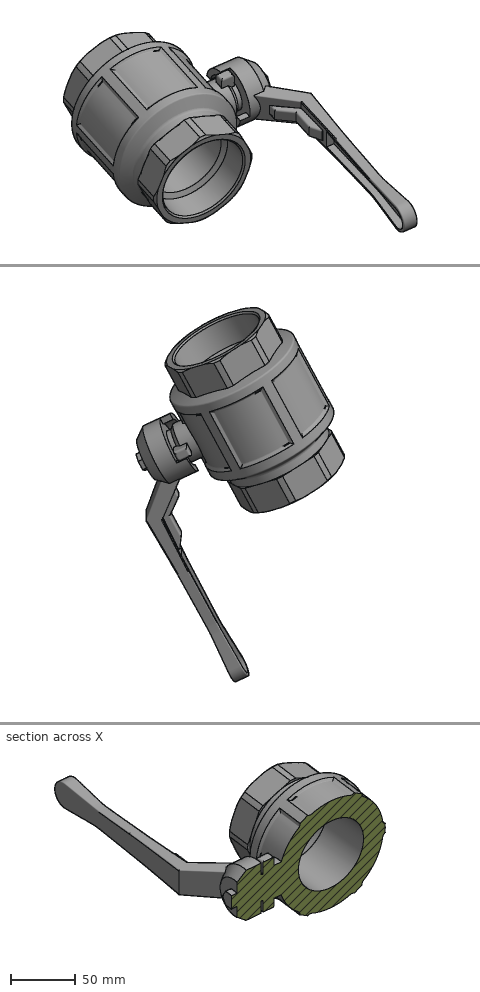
import cadquery as cq
import math


overlap = 1.0
margin = 0.5

body_left = -66.5
body_right = 68.2
octagon_apothem = 42.8
octagon_corner_radius = 45.3
octagon_face_radius = 43.2
octagon_chamfer_length = 1.4
right_octagon_inner_end = 43.9

body_radius = 54.5
body_edge_fillet = 1.5
left_cone_radius = 42.0
left_cone_start = -42.3
left_cone_end = -39.2
right_cone_start = 30.4
right_cone_end = 36.2
neck_ring_radius = 43.1
neck_ring_fillet = 2.5

panel_count = 6
panel_depth = 2.0
panel_start = -31.7
panel_end = 22.1
panel_wall_run = 2.1
panel_floor_fillet = 0.9
web_half_width_top = 4.2
web_half_width_floor = 6.1

thread_bore_radius = 36.8
thread_bore_depth = 23.6
thread_bore_cone_length = 2.4
thread_chamfer = 1.4
through_bore_radius = 32.3

neck_radius = 16.7
neck_tip_radius = 13.6
neck_shoulder_y = 62.8
neck_tip_y = 65.9
lug_half_width = 4.3
lug_outer_radius = 24.9
lug_bottom_y = 56.8
lug_top_y = 68.4
lug_fillet = 1.8

cap_radius = 25.0
cap_top_radius = 17.55
cap_skirt_inner_radius = 19.6
cap_skirt_bottom_y = 61.2
cap_web_bottom_y = 69.9
cap_cone_start_y = 84.8
cap_top_y = 94.0
skirt_gap_offset = 4.4

nut_across_flats = 13.5
nut_top_y = 99.4

lever_top_y = 115.48
lever_bottom_y = 103.4
lever_waist_thinning = 1.6
lever_waist_x = 147.7
lever_waist_half_width = 8.6
lever_waist_blend = 60.0
lever_root_x = 16.3
arm_top_root_y = 88.9
arm_inner_x = 20.0
arm_end_corner_y = 85.0
arm_bottom_root_y = 73.8
lever_root_half_width = 13.1
lever_end_radius = 12.2
lever_edge_fillet = 0.8
lever_tip_x = 197.5
lever_end_x = lever_tip_x - lever_end_radius
lever_bend_top_x = 42.0
lever_bend_bottom_x = 46.4
pocket_start_x = 82.0
pocket_wall = 2.7
pocket_floor_y = 111.2

rib_drop = 6.0
rib_start_x = 29.8
rib_bottom_end_x = 37.6
rib_bottom_y = 84.6
rib_bend_x = 48.4
rib_ramp_start_x = 67.6
rib_end_x = 76.9
rib_root_y = lever_bottom_y + overlap
rib_half_width = 5.4
rib_fillet = 1.5


def revolved_about_pipe(points):
    """Solid of revolution about the X axis from (x, radius) points."""
    return cq.Workplane("XY").polyline(points).close().revolve(360, (0, 0, 0), (1, 0, 0))


def revolved_about_stem(points):
    """Solid of revolution about the Y axis from (radius, y) points."""
    return cq.Workplane("XY").polyline(points).close().revolve(360, (0, 0, 0), (0, 1, 0))


def octagon_end(face_x, inner_x):
    """Octagonal pipe end whose outer face is at face_x."""
    inward = math.copysign(1, inner_x - face_x)
    across_corners = 2 * octagon_apothem / math.cos(math.pi / 8)
    prism = (
        cq.Workplane("YZ", origin=(face_x, 0, 0))
        .polygon(8, across_corners)
        .extrude(inner_x - face_x)
    )
    envelope = revolved_about_pipe([
        (face_x, 0),
        (face_x, octagon_face_radius),
        (face_x + inward * octagon_chamfer_length, octagon_corner_radius),
        (inner_x, octagon_corner_radius),
        (inner_x, 0),
    ])
    return prism.intersect(envelope)


def round_body():
    """Barrel with a cone at each side and the ring next to the right octagon."""
    barrel = revolved_about_pipe([
        (left_cone_start, 0),
        (left_cone_start, left_cone_radius),
        (left_cone_end, body_radius),
        (right_cone_start, body_radius),
        (right_cone_end, neck_ring_radius),
        (right_octagon_inner_end, neck_ring_radius),
        (right_octagon_inner_end, 0),
    ])
    barrel_edges = cq.selectors.BoxSelector(
        (left_cone_end - margin, -body_radius - margin, -body_radius - margin),
        (right_cone_start + margin, body_radius + margin, body_radius + margin),
        boundingbox=True,
    )
    ring_edge = cq.selectors.BoxSelector(
        (right_cone_end - margin, -body_radius, -body_radius),
        (right_cone_end + margin, body_radius, body_radius),
        boundingbox=True,
    )
    barrel = barrel.edges(barrel_edges).edges("%CIRCLE").fillet(body_edge_fillet)
    return barrel.edges(ring_edge).fillet(neck_ring_fillet)


def panel_recesses():
    """Ring-shaped groove with sloped ends, interrupted by tapered webs along X."""
    floor_radius = body_radius - panel_depth
    overshoot = 2.0
    end_slope = panel_wall_run / panel_depth
    cutter = revolved_about_pipe([
        (panel_start + panel_wall_run, floor_radius),
        (panel_start - overshoot * end_slope, body_radius + overshoot),
        (panel_end + overshoot * end_slope, body_radius + overshoot),
        (panel_end - panel_wall_run, floor_radius),
    ])
    web_slope = (web_half_width_floor - web_half_width_top) / panel_depth
    web_low = floor_radius - overshoot
    web_rise = 1.5 * overshoot
    web_high = body_radius + web_rise
    web_low_half = web_half_width_floor + web_slope * overshoot
    web_high_half = web_half_width_top - web_slope * web_rise
    web_start = panel_start - overshoot * end_slope
    web_end = panel_end + overshoot * end_slope
    for index in range(panel_count):
        web = (
            cq.Workplane("YZ", origin=(web_start, 0, 0))
            .polyline([
                (web_low, -web_low_half),
                (web_high, -web_high_half),
                (web_high, web_high_half),
                (web_low, web_low_half),
            ])
            .close()
            .extrude(web_end - web_start)
            .rotate((0, 0, 0), (1, 0, 0), index * 360 / panel_count)
        )
        cutter = cutter.cut(web)
    panel_length = panel_end - panel_start
    floors = cutter.faces("%CYLINDER").filter(lambda face: face.BoundingBox().xlen < panel_length)
    return floors.edges().fillet(panel_floor_fillet)


def bore():
    """Through bore with a wider, chamfered thread bore at each end, joined by cones."""
    cone_end_depth = thread_bore_depth + thread_bore_cone_length
    mouth_radius = thread_bore_radius + thread_chamfer
    return revolved_about_pipe([
        (body_left, 0),
        (body_left, mouth_radius),
        (body_left + thread_chamfer, thread_bore_radius),
        (body_left + thread_bore_depth, thread_bore_radius),
        (body_left + cone_end_depth, through_bore_radius),
        (body_right - cone_end_depth, through_bore_radius),
        (body_right - thread_bore_depth, thread_bore_radius),
        (body_right - thread_chamfer, thread_bore_radius),
        (body_right, mouth_radius),
        (body_right, 0),
    ])


def stem_neck():
    """Neck rising from the body to the cap, with a stop lug on either side."""
    neck = revolved_about_stem([
        (0, 0),
        (neck_radius, 0),
        (neck_radius, neck_shoulder_y),
        (neck_tip_radius, neck_tip_y),
        (neck_tip_radius, cap_web_bottom_y + overlap),
        (0, cap_web_bottom_y + overlap),
    ])
    lugs = (
        cq.Workplane("XY")
        .box(2 * lug_half_width, lug_top_y - lug_bottom_y, 2 * lug_outer_radius)
        .faces("<Z or >Z")
        .edges()
        .fillet(lug_fillet)
        .translate((0, (lug_top_y + lug_bottom_y) / 2, 0))
    )
    lug_core = revolved_about_stem([
        (0, lug_bottom_y),
        (neck_tip_radius, lug_bottom_y),
        (neck_tip_radius, lug_top_y),
        (0, lug_top_y),
    ])
    return neck.union(lugs.cut(lug_core))


def cap():
    """Lever hub: coned top and a hollow skirt open over two opposite quadrants."""
    hub = revolved_about_stem([
        (0, cap_web_bottom_y),
        (cap_skirt_inner_radius, cap_web_bottom_y),
        (cap_skirt_inner_radius, cap_skirt_bottom_y),
        (cap_radius, cap_skirt_bottom_y),
        (cap_radius, cap_cone_start_y),
        (cap_top_radius, cap_top_y),
        (0, cap_top_y),
    ])
    gap_size = 2 * cap_radius
    gap_height = cap_web_bottom_y - cap_skirt_bottom_y
    for side in (1, -1):
        gap_centre = side * (gap_size / 2 - skirt_gap_offset)
        gap = cq.Workplane("XY").box(gap_size, gap_height, gap_size).translate(
            (gap_centre, cap_skirt_bottom_y + gap_height / 2, gap_centre)
        )
        hub = hub.cut(gap)
    return hub


def nut():
    """Hexagon on the end of the stem, with corners toward +X and -X."""
    across_corners = nut_across_flats / math.cos(math.pi / 6)
    return (
        cq.Workplane("XZ", origin=(0, cap_top_y - overlap, 0))
        .polygon(6, across_corners)
        .extrude(-(nut_top_y - cap_top_y + overlap))
    )


def lever_plan(start_x, start_half_width, inset):
    """Tapered grip outline in X and Z with a round end, shrunk by inset."""
    waist = lever_waist_half_width - inset
    end_radius = lever_end_radius - inset
    reach = lever_end_x - lever_waist_x
    gap = math.hypot(reach, waist)
    tilt = math.asin(end_radius / gap) - math.atan2(waist, reach)
    tangent_x = lever_end_x - end_radius * math.sin(tilt)
    tangent_z = end_radius * math.cos(tilt)
    plan = (
        cq.Workplane("XZ")
        .moveTo(start_x, start_half_width)
        .lineTo(lever_waist_x, waist)
        .lineTo(tangent_x, tangent_z)
        .threePointArc((lever_end_x + end_radius, 0), (tangent_x, -tangent_z))
        .lineTo(lever_waist_x, -waist)
        .lineTo(start_x, -start_half_width)
        .close()
        .extrude(-2 * lever_top_y)
    )
    waist_edges = cq.selectors.BoxSelector(
        (lever_waist_x - margin, 0, -2 * waist),
        (lever_waist_x + margin, 2 * lever_top_y, 2 * waist),
    )
    return plan.edges("|Y").edges(waist_edges).fillet(lever_waist_blend)


def lever():
    """Bent lever: an arm rising from the cap, then a hollowed grip."""
    waist_top_y = lever_top_y - lever_waist_thinning
    waist_bottom_y = lever_bottom_y + lever_waist_thinning
    slab = (
        cq.Workplane("XY", origin=(0, 0, -lever_root_half_width))
        .moveTo(lever_root_x, arm_top_root_y)
        .lineTo(lever_bend_top_x, lever_top_y)
        .spline(
            [(lever_waist_x, waist_top_y), (lever_tip_x, lever_top_y)],
            tangents=[None, (1, 0), (1, 0)],
            includeCurrent=True,
        )
        .lineTo(lever_tip_x, lever_bottom_y)
        .spline(
            [(lever_waist_x, waist_bottom_y), (lever_bend_bottom_x, lever_bottom_y)],
            tangents=[(-1, 0), (-1, 0), None],
            includeCurrent=True,
        )
        .lineTo(arm_inner_x, arm_bottom_root_y)
        .lineTo(arm_inner_x, arm_end_corner_y)
        .close()
        .extrude(2 * lever_root_half_width)
    )
    grip = slab.intersect(lever_plan(lever_root_x, lever_root_half_width, 0))
    beyond_root = cq.selectors.BoxSelector(
        (arm_inner_x + margin, 0, -2 * lever_root_half_width),
        (2 * lever_tip_x, 2 * lever_top_y, 2 * lever_root_half_width),
    )
    grip = grip.edges("not(|Y or |Z)").edges(beyond_root).fillet(lever_edge_fillet)
    taper = (lever_root_half_width - lever_waist_half_width) / (lever_waist_x - lever_root_x)
    pocket_start_half = lever_root_half_width - taper * (pocket_start_x - lever_root_x) - pocket_wall
    pocket = lever_plan(pocket_start_x, pocket_start_half, pocket_wall)
    slab_size = 3 * lever_tip_x
    above_floor = (
        cq.Workplane("XZ", origin=(0, pocket_floor_y, 0))
        .rect(slab_size, slab_size)
        .extrude(-2 * lever_top_y)
    )
    return grip.cut(pocket.cut(above_floor))


def lever_rib():
    """Stiffening rib under the bend, rounded along its lower edges."""
    grip_foot_y = lever_bottom_y - rib_drop
    rib = (
        cq.Workplane("XY", origin=(0, 0, -rib_half_width))
        .moveTo(rib_start_x, rib_bottom_y)
        .lineTo(rib_bottom_end_x, rib_bottom_y)
        .lineTo(rib_bend_x, grip_foot_y)
        .lineTo(rib_ramp_start_x, grip_foot_y)
        .lineTo(rib_end_x, lever_bottom_y)
        .lineTo(rib_end_x, rib_root_y)
        .lineTo(lever_bend_bottom_x, rib_root_y)
        .close()
        .extrude(2 * rib_half_width)
    )
    lower_edges = cq.selectors.BoxSelector(
        (rib_start_x + margin, 0, -2 * rib_half_width),
        (rib_end_x - margin, lever_bottom_y - margin, 2 * rib_half_width),
    )
    return rib.faces("<Z or >Z").edges(lower_edges).fillet(rib_fillet)


body = (
    round_body()
    .cut(panel_recesses())
    .union(octagon_end(body_left, left_cone_end))
    .union(octagon_end(body_right, right_octagon_inner_end))
    .union(stem_neck())
    .cut(bore())
)
result = body.union(cap()).union(nut()).union(lever()).union(lever_rib())